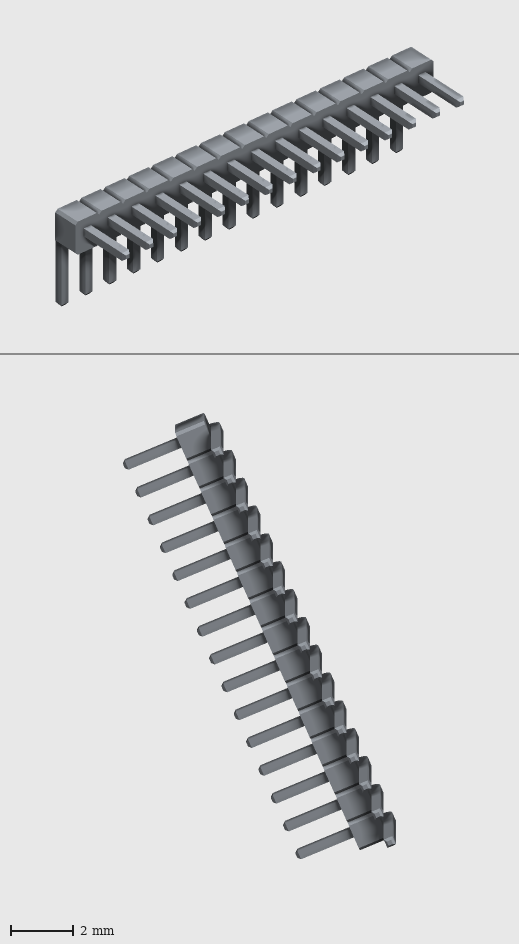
import cadquery as cq


total_length = 15.0
pin_count = 15
pitch = total_length / pin_count
strip_width = pitch
strip_height = 1.26
notch_depth = 0.1

pin_size = 0.3
strip_gap = 0.4
overall_width = 3.4
overall_height = 3.95
pin_axis_depth = 0.51
bend_outer_radius = 0.45
bend_inner_radius = 0.05
tip_length = 0.1
tip_inset = 0.08

pin_top = -pin_axis_depth + pin_size / 2
pin_bottom = pin_top - pin_size
contact_shoulder_x = overall_width - tip_length
leg_shoulder_z = tip_length - overall_height


def strip_segment(center_y):
    """One segment of the strip, bevelled along its four edges parallel to X."""
    return (
        cq.Workplane("XY")
        .box(strip_width, pitch, strip_height)
        .edges("|X")
        .chamfer(notch_depth)
        .translate((strip_gap + strip_width / 2, center_y, -strip_height / 2))
    )


def tapered_tip(shoulder_plane):
    """Truncated pyramid that starts on the given plane and narrows along its normal."""
    end_size = pin_size - 2 * tip_inset
    return (
        cq.Workplane(shoulder_plane)
        .rect(pin_size, pin_size)
        .workplane(offset=tip_length)
        .rect(end_size, end_size)
        .loft(ruled=True)
    )


def bent_pin():
    """Square pin centred on Y = 0: contact along +X, leg along -Z."""
    shank = (
        cq.Workplane("XZ")
        .moveTo(contact_shoulder_x, pin_top)
        .lineTo(bend_outer_radius, pin_top)
        .radiusArc((0, pin_top - bend_outer_radius), -bend_outer_radius)
        .lineTo(0, leg_shoulder_z)
        .lineTo(pin_size, leg_shoulder_z)
        .lineTo(pin_size, pin_bottom - bend_inner_radius)
        .radiusArc((pin_size + bend_inner_radius, pin_bottom), bend_inner_radius)
        .lineTo(contact_shoulder_x, pin_bottom)
        .close()
        .extrude(pin_size / 2, both=True)
    )
    contact_end = cq.Plane(
        origin=(contact_shoulder_x, 0, -pin_axis_depth), xDir=(0, 1, 0), normal=(1, 0, 0)
    )
    leg_end = cq.Plane(
        origin=(pin_size / 2, 0, leg_shoulder_z), xDir=(1, 0, 0), normal=(0, 0, -1)
    )
    return shank.union(tapered_tip(contact_end)).union(tapered_tip(leg_end))


pin = bent_pin()
result = cq.Workplane("XY")
for index in range(pin_count):
    segment_y = (index - (pin_count - 1) / 2) * pitch
    result = result.union(strip_segment(segment_y))
    result = result.union(pin.translate((0, segment_y, 0)))